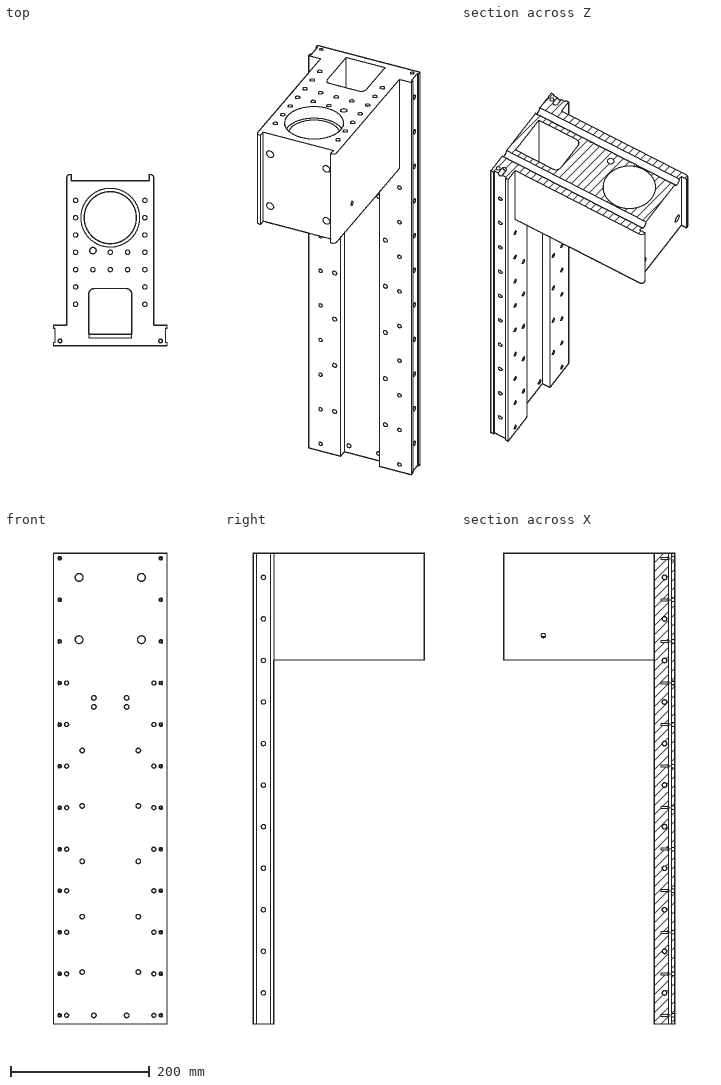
import cadquery as cq
import math

plate_width = 164.0
plate_thickness = 30.0
plate_height = 680.0
groove_edge_margin = 5.0
groove_depth = 2.0

bracket_width = 126.0
bracket_height = 154.5
total_depth = 247.5
bracket_bottom = plate_height - bracket_height
rear_notch_width = 112.0
rear_notch_depth = 9.0
rear_edge_radius = 5.0

slot_width = 62.0
slot_corner_radius = 8.0
slot_rear_y = 82.5
slot_floor_y = 11.0
channel_floor_y = 17.0

bore_y = 185.0
bore_diameter = 75.0
bore_seat_diameter = 85.0
bore_seat_depth = 20.0

top_pitch = 25.0
tapped_hole_diameter = 6.4
drill_tip_angle = 118.0
top_hole_depth = 15.0
top_side_columns = 2
top_first_row_y = 60.0
top_row_count = 7
cross_rows = (2, 3)
passage_diameter = 9.0
passage_x = -top_pitch
passage_y = 137.5

side_port_diameter = 6.4
side_port_depth = 15.0
side_port_y = 190.0
side_port_z = 561.0

row_pitch = 60.0
edge_hole_x = 73.0
edge_hole_diameter = 5.0
edge_hole_depth = 10.0
edge_pilot_diameter = 3.0
edge_pilot_depth = 20.0
edge_row_count = 12
edge_first_z = 12.5
inner_hole_x = 63.0
inner_hole_diameter = 5.6
inner_row_count = 9
rail_hole_x = 40.5
rail_hole_diameter = 6.4
rail_first_z = 75.0
rail_pitch = 80.0
rail_row_count = 5
stop_hole_x = 23.7
stop_hole_diameter = 6.4
stop_hole_heights = (edge_first_z, 458.0, 471.0)
groove_hole_depth = 12.0
groove_first_z = 45.0
groove_row_count = 11
long_hole_diameter = 5.0
long_hole_x = 72.5
long_hole_y = 7.0

bolt_diameter = 11.0
bolt_spacing = 90.0
bolt_center_z = 600.0


def box(x_min, x_max, y_min, y_max, z_min, z_max):
    """Axis-aligned block between two corners."""
    block = cq.Workplane("XY").box(x_max - x_min, y_max - y_min, z_max - z_min, centered=False)
    return block.translate((x_min, y_min, z_min))


def drill(start, direction, diameter, depth):
    """Cylinder that removes a flat-bottomed hole."""
    return cq.Solid.makeCylinder(diameter / 2, depth, cq.Vector(*start), cq.Vector(*direction))


def tap(start, direction, depth):
    """Blind tapped hole ending in a conical drill tip."""
    radius = tapped_hole_diameter / 2
    tip_length = radius / math.tan(math.radians(drill_tip_angle / 2))
    axis = cq.Vector(*direction)
    tip_start = cq.Vector(*start) + axis * depth
    tip = cq.Solid.makeCone(radius, 0, tip_length, tip_start, axis)
    return drill(start, direction, tapped_hole_diameter, depth).fuse(tip)


def row_heights(first, pitch, count):
    """Evenly spaced hole heights."""
    return [first + index * pitch for index in range(count)]


def make_plate():
    """Plate with a shallow groove along each long side."""
    half_width = plate_width / 2
    groove_floor = half_width - groove_depth
    groove_rear = plate_thickness - groove_edge_margin
    plate = box(-half_width, half_width, 0, plate_thickness, 0, plate_height)
    for x_min, x_max in ((-half_width, -groove_floor), (groove_floor, half_width)):
        plate = plate.cut(box(x_min, x_max, groove_edge_margin, groove_rear, 0, plate_height))
    return plate


def make_bracket():
    """Block with rounded rear edges and a shallow notch between two rear lips."""
    half_width = bracket_width / 2
    half_notch = rear_notch_width / 2
    notch_floor = total_depth - rear_notch_depth
    block = box(-half_width, half_width, plate_thickness, total_depth, bracket_bottom, plate_height)
    block = block.edges("|Z and >Y").fillet(rear_edge_radius)
    return block.cut(box(-half_notch, half_notch, notch_floor, total_depth, bracket_bottom, plate_height))


def cut_shaft(body):
    """Shaft through the bracket; a ramp joins it to the shallower channel below."""
    half_width = slot_width / 2
    shaft = box(-half_width, half_width, channel_floor_y, slot_rear_y, bracket_bottom, plate_height)
    shaft = shaft.edges("|Z and >Y").fillet(slot_corner_radius)
    ramp_height = channel_floor_y - slot_floor_y
    pocket_profile = [
        (plate_thickness, 0),
        (channel_floor_y, 0),
        (channel_floor_y, bracket_bottom),
        (slot_floor_y, bracket_bottom + ramp_height),
        (slot_floor_y, plate_height),
        (plate_thickness, plate_height),
    ]
    pocket = cq.Workplane("YZ").polyline(pocket_profile).close().extrude(half_width, both=True)
    return body.cut(shaft).cut(pocket)


def cut_bore(body):
    """Vertical through bore with a wider seat at the top."""
    down = (0, 0, -1)
    top = (0, bore_y, plate_height)
    body = body.cut(drill(top, down, bore_diameter, bracket_height))
    return body.cut(drill(top, down, bore_seat_diameter, bore_seat_depth))


def top_holes():
    """Grid of blind holes: two full columns plus cross rows, and one through passage."""
    down = (0, 0, -1)
    cutters = [drill((passage_x, passage_y, plate_height), down, passage_diameter, bracket_height)]
    for row in range(top_row_count):
        for column in range(-top_side_columns, top_side_columns + 1):
            x = column * top_pitch
            y = top_first_row_y + row * top_pitch
            in_pattern = abs(column) == top_side_columns or row in cross_rows
            beside_passage = x == passage_x and abs(y - passage_y) < passage_diameter
            if in_pattern and not beside_passage:
                cutters.append(tap((x, y, plate_height), down, top_hole_depth))
    return cutters


def front_holes():
    """Mirrored pairs of holes drilled rearward from the front face of the plate."""
    rearward = (0, 1, 0)
    inner_heights = row_heights(edge_first_z, row_pitch, inner_row_count)
    rail_heights = row_heights(rail_first_z, rail_pitch, rail_row_count)
    bolt_heights = row_heights(bolt_center_z - bolt_spacing / 2, bolt_spacing, 2)
    groups = [
        (inner_hole_x, inner_heights, inner_hole_diameter, plate_thickness),
        (rail_hole_x, rail_heights, rail_hole_diameter, plate_thickness),
        (stop_hole_x, stop_hole_heights, stop_hole_diameter, plate_thickness),
        (bolt_spacing / 2, bolt_heights, bolt_diameter, total_depth),
    ]
    cutters = []
    for z in row_heights(edge_first_z, row_pitch, edge_row_count):
        for side in (-1, 1):
            start = (side * edge_hole_x, 0, z)
            cutters.append(drill(start, rearward, edge_hole_diameter, edge_hole_depth))
            cutters.append(drill(start, rearward, edge_pilot_diameter, edge_pilot_depth))
    for x, heights, diameter, depth in groups:
        for z in heights:
            for side in (-1, 1):
                cutters.append(drill((side * x, 0, z), rearward, diameter, depth))
    return cutters


def side_holes():
    """Blind holes in both grooves, long edge bores and the port in the bracket side."""
    port_start = (-bracket_width / 2, side_port_y, side_port_z)
    cutters = [drill(port_start, (1, 0, 0), side_port_diameter, side_port_depth)]
    groove_floor = plate_width / 2 - groove_depth
    for side in (-1, 1):
        for z in row_heights(groove_first_z, row_pitch, groove_row_count):
            start = (side * groove_floor, plate_thickness / 2, z)
            cutters.append(tap(start, (-side, 0, 0), groove_hole_depth))
        long_start = (side * long_hole_x, long_hole_y, 0)
        cutters.append(drill(long_start, (0, 0, 1), long_hole_diameter, plate_height))
    return cutters


body = make_plate().union(make_bracket())
body = cut_bore(cut_shaft(body))
for cutter in top_holes() + front_holes() + side_holes():
    body = body.cut(cutter)

result = body